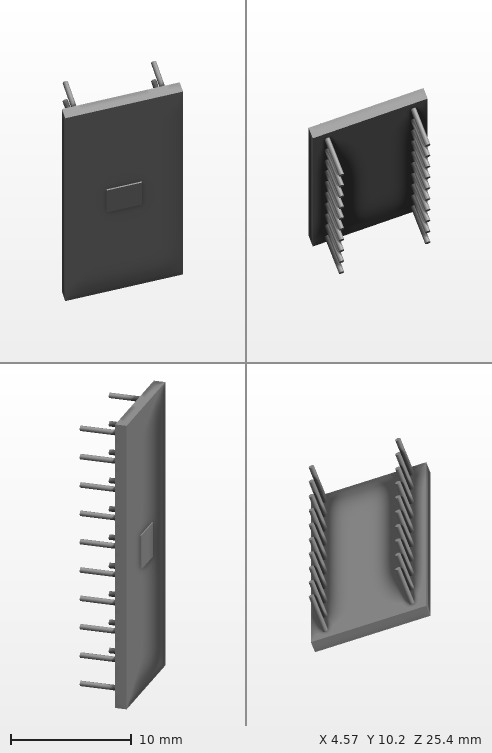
import cadquery as cq

total_depth = 4.57
plate_width = 10.16
plate_height = 25.4

pin_diameter = 0.46
pin_length = 3.45
pin_pitch = 2.54
pins_per_column = 10
column_spacing = 3 * pin_pitch

plate_thickness = 1.0
pad_side = 3.05
pad_thickness = total_depth - pin_length - plate_thickness


def make_plate():
    """Upright plate with its pin side on the X = 0 plane."""
    return cq.Workplane("XY").box(
        plate_thickness, plate_width, plate_height, centered=(False, True, True)
    )


def make_pad():
    """Raised square pad at the centre of the +X face."""
    return (
        cq.Workplane("YZ")
        .workplane(offset=plate_thickness)
        .rect(pad_side, pad_side)
        .extrude(pad_thickness)
    )


def make_pins():
    """Both columns of round pins, pointing toward -X."""
    return (
        cq.Workplane("YZ")
        .rarray(column_spacing, pin_pitch, 2, pins_per_column)
        .circle(pin_diameter / 2)
        .extrude(-pin_length)
    )


result = make_plate().union(make_pad()).union(make_pins())